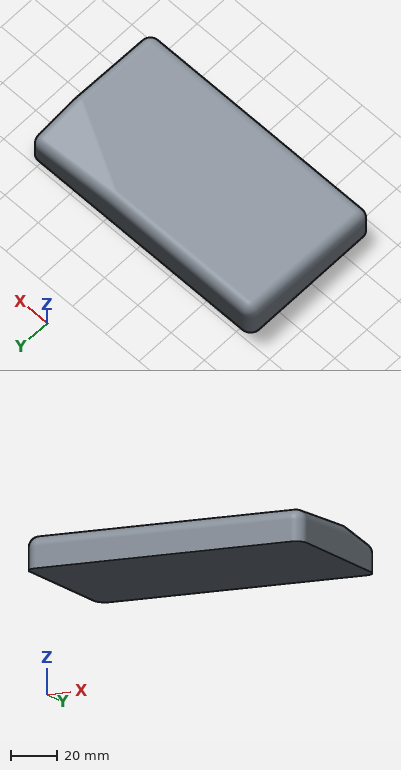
import cadquery as cq
length = 133.0
width = 75.0
edge_radius = 5.0

back_height = 17.8
front_height = 15.2
inset_x = length / 2 - edge_radius
inset_y = width / 2 - edge_radius
rise = (back_height - front_height) / (2 * inset_y)
main_normal = cq.Vector(0, -rise, 1)

crease_back_x = 20.3
crease_right_y = 10.1
facet_angle = 12.0
crease_chamfer = 0.4

blank_height = back_height + edge_radius


def point_on_main_face(x, y):
    return cq.Vector(x, y, front_height + rise * (y + inset_y))


def facet_plane():
    """Main face turned downward about the crease: x runs along the crease, z faces up."""
    back_end = point_on_main_face(crease_back_x, inset_y)
    right_end = point_on_main_face(inset_x, crease_right_y)
    unturned = cq.Plane(origin=back_end, xDir=right_end - back_end, normal=main_normal)
    return unturned.rotated((-facet_angle, 0, 0))


def main_plane():
    middle = point_on_main_face(0, 0)
    return cq.Plane(origin=middle, xDir=(1, 0, 0), normal=main_normal)


def above(plane):
    """Slab resting on a plane, large enough to cover the whole block."""
    reach = 2 * (length + width)
    return cq.Workplane(plane).rect(reach, reach).extrude(reach)


def crease_edge():
    """Selector for the edge where the facet meets the main face."""
    middle = point_on_main_face((crease_back_x + inset_x) / 2, (crease_right_y + inset_y) / 2)
    return cq.selectors.NearestToPointSelector(middle.toTuple())


block = cq.Workplane("XY").box(length, width, blank_height, centered=(True, True, False))
body = block.cut(above(main_plane())).cut(above(facet_plane()))
body = body.edges(crease_edge()).chamfer(crease_chamfer)

outer_edges = [
    edge
    for edge in body.edges("not <Z").vals()
    if abs(edge.Center().x) > inset_x or abs(edge.Center().y) > inset_y
]
result = body.newObject(outer_edges).fillet(edge_radius)